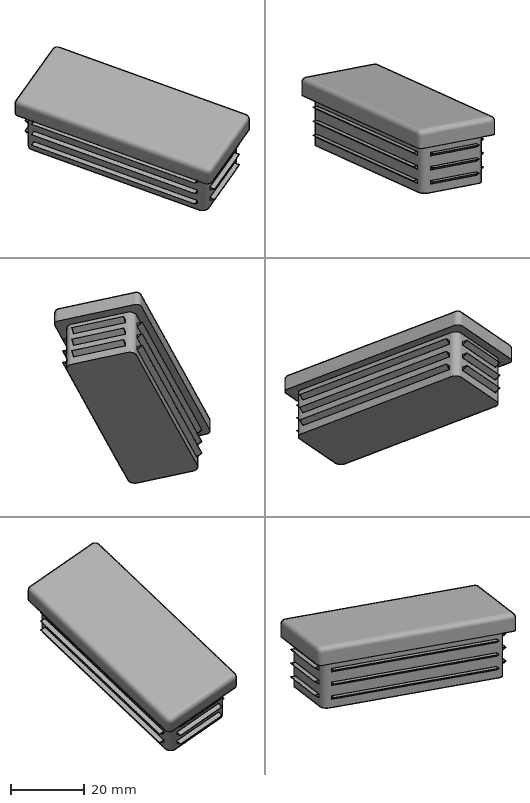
import cadquery as cq

length = 60.0
width = 25.0
cap_height = 5.05
cap_radius = 1.5

cap_overhang = 2.5
plug_length = length - 2 * cap_overhang
plug_width = width - 2 * cap_overhang
plug_height = 14.0
plug_corner_radius = 2.0

rib_count = 3
rib_pitch = 4.0
lowest_rib_top = 3.5
rib_height = 1.0
rib_reach = 1.5
rib_end_margin = 2.5


def make_plug():
    plug = cq.Workplane("XY").box(plug_length, plug_width, plug_height, centered=(True, True, False))
    return plug.edges("|Z").fillet(plug_corner_radius)


def make_cap():
    cap = cq.Workplane("XY").box(length, width, cap_height, centered=(True, True, False))
    cap = cap.edges("|Z").fillet(cap_radius)
    cap = cap.faces(">Z").edges().fillet(cap_radius)
    return cap.translate((0, 0, plug_height))


def make_rib(face_distance, side_length, top_z):
    """Triangular rib running along Y on the +X face at face_distance from the axis."""
    root_x = face_distance - rib_reach
    profile = [
        (root_x, top_z),
        (face_distance + rib_reach, top_z),
        (face_distance, top_z - rib_height),
        (root_x, top_z - rib_height),
    ]
    half_run = side_length / 2 - rib_end_margin
    return cq.Workplane("XZ").polyline(profile).close().extrude(half_run, both=True)


result = make_plug().union(make_cap())
for level in range(rib_count):
    rib_top = lowest_rib_top + level * rib_pitch
    end_rib = make_rib(plug_length / 2, plug_width, rib_top)
    side_rib = make_rib(plug_width / 2, plug_length, rib_top)
    for turn in (0, 180):
        result = result.union(end_rib.rotate((0, 0, 0), (0, 0, 1), turn))
        result = result.union(side_rib.rotate((0, 0, 0), (0, 0, 1), turn + 90))